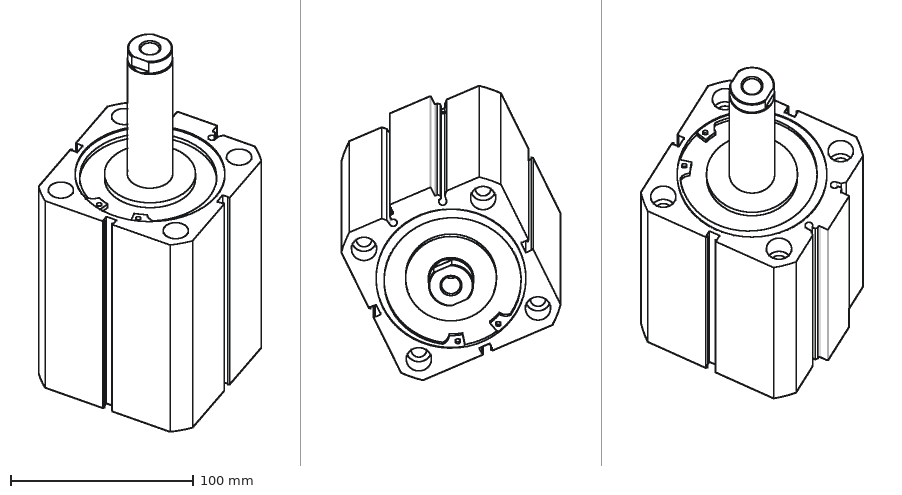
import cadquery as cq
import math


HOUSING_WIDTH = 96.5
HOUSING_HEIGHT = 133.5
HALF_WIDTH = HOUSING_WIDTH / 2
CORNER_RADIUS = 62.0
BORE_RADIUS = 41.0

RAIL_WIDTH = 25.0
RAIL_HEIGHT = 5.5
RAIL_ROUND = 0.5

MOUNT_OFFSET = 36.0
MOUNT_HOLE_DIAMETER = 8.5
COUNTERBORE_DIAMETER = 13.8
COUNTERBORE_DEPTH = 13.5

SLOT_MOUTH_WIDTH = 4.7
SLOT_WIDTH = 6.3
SLOT_DEPTH = 4.5
SLOT_LIP = 1.0
SLOT_MOUTH_CHAMFER = 0.7

GROOVE_RADIUS = 2.0
GROOVE_X = 15.0
GROOVE_DEPTH = 5.0
FLARE_OUTER_X = 19.5
FLARE_INNER_X = 14.0
THROAT_OUTER_X = 17.5
THROAT_OUTER_DEPTH = 2.0
LIP_X = 15.2
LIP_DEPTH = 1.0

RING_RECESS = 1.0
RING_THICKNESS = 2.5
RING_INNER_RADIUS = 37.5
RING_INNER_OFFSET = 2.0
EAR_RADIUS = 34.0
EAR_START_ANGLE = 14.0
EAR_END_ANGLE = 26.4
NECK_ANGLE = 33.0
NECK_ARC_RADIUS = 37.5
NECK_ARC_ANGLE = 28.4
EAR_HOLE_RADIUS = 37.5
EAR_HOLE_ANGLE = 19.0
EAR_HOLE_DIAMETER = 2.8

COVER_RECESS = RING_RECESS + RING_THICKNESS
COVER_THICKNESS = 20.0
BOSS_RADIUS = 25.0
BOSS_HEIGHT = 3.5

ROD_DIAMETER = 25.0
ROD_RADIUS = ROD_DIAMETER / 2
ROD_BOTTOM = -10.0
ROD_LENGTH = 233.5
ROD_TOP = ROD_BOTTOM + ROD_LENGTH
TIP_STEP = 0.25
TIP_RADIUS = ROD_RADIUS - TIP_STEP
TIP_LENGTH = 8.0
TIP_TAPER_LENGTH = 0.7
TIP_CHAMFER = 0.5
FLATS_WIDTH = 22.0
FLATS_LENGTH = 7.0
THREAD_DIAMETER = 10.3
THREAD_MOUTH_DIAMETER = 12.0
THREAD_DEPTH = 23.4
DRILL_POINT_ANGLE = 118.0


def upper_end_to_lower(shape):
    """Mirror a shape at the upper end of the cylinder to the lower end."""
    mid_plane = (0, 0, HOUSING_HEIGHT / 2)
    return shape.mirror("XY", mid_plane)


def polar_from_gap(radius, angle):
    """Point at an angle in degrees from -Y, on the +X side."""
    turn = math.radians(angle)
    return radius * math.sin(turn), -radius * math.cos(turn)


def mirrored(point):
    return -point[0], point[1]


def t_slot(turn):
    """Full-height T-slot cutter for the -Y side, turned about the axis."""
    mouth_half = SLOT_MOUTH_WIDTH / 2
    mouth = (
        cq.Workplane("XY")
        .moveTo(-mouth_half - SLOT_MOUTH_CHAMFER, -HALF_WIDTH)
        .lineTo(-mouth_half, SLOT_MOUTH_CHAMFER - HALF_WIDTH)
        .lineTo(-mouth_half, SLOT_DEPTH - HALF_WIDTH)
        .lineTo(mouth_half, SLOT_DEPTH - HALF_WIDTH)
        .lineTo(mouth_half, SLOT_MOUTH_CHAMFER - HALF_WIDTH)
        .lineTo(mouth_half + SLOT_MOUTH_CHAMFER, -HALF_WIDTH)
        .close()
        .extrude(HOUSING_HEIGHT)
    )
    wide = cq.Workplane("XY").box(
        SLOT_WIDTH, SLOT_DEPTH - SLOT_LIP, HOUSING_HEIGHT, centered=(True, False, False)
    )
    wide = wide.translate((0, SLOT_LIP - HALF_WIDTH, 0))
    return mouth.union(wide).rotate((0, 0, 0), (0, 0, 1), turn)


def sensor_groove():
    """Full-height cutter for the groove on the +X side of the rail."""
    centre_y = HALF_WIDTH - GROOVE_DEPTH
    mouth = (
        cq.Workplane("XY")
        .moveTo(FLARE_OUTER_X, HALF_WIDTH)
        .lineTo(THROAT_OUTER_X, HALF_WIDTH - THROAT_OUTER_DEPTH)
        .lineTo(GROOVE_X + GROOVE_RADIUS, centre_y)
        .lineTo(GROOVE_X, centre_y)
        .lineTo(LIP_X, HALF_WIDTH - LIP_DEPTH)
        .lineTo(FLARE_INNER_X, HALF_WIDTH)
        .close()
        .extrude(HOUSING_HEIGHT)
    )
    bottom = cq.Workplane("XY").center(GROOVE_X, centre_y).circle(GROOVE_RADIUS).extrude(HOUSING_HEIGHT)
    return mouth.union(bottom)


def make_housing():
    block = cq.Workplane("XY").rect(HOUSING_WIDTH, HOUSING_WIDTH).extrude(HOUSING_HEIGHT)
    corners = cq.Workplane("XY").circle(CORNER_RADIUS).extrude(HOUSING_HEIGHT)
    rail_length = HALF_WIDTH + RAIL_HEIGHT
    rail = cq.Workplane("XY").box(
        RAIL_WIDTH, rail_length, HOUSING_HEIGHT, centered=(True, False, False)
    )
    body = block.intersect(corners).union(rail)
    rail_edges = cq.selectors.BoxSelector(
        (-RAIL_WIDTH / 2 - RAIL_ROUND, HALF_WIDTH - RAIL_ROUND, 0),
        (RAIL_WIDTH / 2 + RAIL_ROUND, rail_length + RAIL_ROUND, HOUSING_HEIGHT),
    )
    body = body.edges("|Z").edges(rail_edges).fillet(RAIL_ROUND)
    body = body.cut(cq.Workplane("XY").circle(BORE_RADIUS).extrude(HOUSING_HEIGHT))

    for turn in (-90, 0, 90):
        body = body.cut(t_slot(turn))

    groove = sensor_groove()
    body = body.cut(groove).cut(groove.mirror("YZ"))

    mount_spacing = 2 * MOUNT_OFFSET
    for face in (">Z", "<Z"):
        body = (
            body.faces(face)
            .workplane(origin=(0, 0, 0))
            .rect(mount_spacing, mount_spacing, forConstruction=True)
            .vertices()
            .cboreHole(MOUNT_HOLE_DIAMETER, COUNTERBORE_DIAMETER, COUNTERBORE_DEPTH)
        )
    return body


def make_retaining_ring():
    """Ring at the upper end, with its gap and its two plier ears at -Y."""
    gap_outer = polar_from_gap(BORE_RADIUS, EAR_START_ANGLE)
    ear_start = polar_from_gap(EAR_RADIUS, EAR_START_ANGLE)
    ear_middle = polar_from_gap(EAR_RADIUS, (EAR_START_ANGLE + EAR_END_ANGLE) / 2)
    ear_end = polar_from_gap(EAR_RADIUS, EAR_END_ANGLE)
    neck_x, neck_y = polar_from_gap(RING_INNER_RADIUS, NECK_ANGLE)
    neck = (neck_x, neck_y - RING_INNER_OFFSET)
    neck_arc = polar_from_gap(NECK_ARC_RADIUS, NECK_ARC_ANGLE)
    inner_top = (0, RING_INNER_RADIUS - RING_INNER_OFFSET)

    ring = (
        cq.Workplane("XY", origin=(0, 0, HOUSING_HEIGHT - COVER_RECESS))
        .moveTo(*gap_outer)
        .threePointArc((0, BORE_RADIUS), mirrored(gap_outer))
        .lineTo(*mirrored(ear_start))
        .threePointArc(mirrored(ear_middle), mirrored(ear_end))
        .threePointArc(mirrored(neck_arc), mirrored(neck))
        .threePointArc(inner_top, neck)
        .threePointArc(neck_arc, ear_end)
        .threePointArc(ear_middle, ear_start)
        .close()
        .extrude(RING_THICKNESS)
    )
    ear_hole = polar_from_gap(EAR_HOLE_RADIUS, EAR_HOLE_ANGLE)
    return (
        ring.faces(">Z")
        .workplane(origin=(0, 0, 0))
        .pushPoints([ear_hole, mirrored(ear_hole)])
        .hole(EAR_HOLE_DIAMETER)
    )


def make_rod_cover():
    """Upper cover: a disc that fills the bore, with a raised boss around the rod."""
    cover_top = HOUSING_HEIGHT - COVER_RECESS
    disc = cq.Workplane("XY", origin=(0, 0, cover_top)).circle(BORE_RADIUS).extrude(-COVER_THICKNESS)
    boss = cq.Workplane("XY", origin=(0, 0, cover_top)).circle(BOSS_RADIUS).extrude(BOSS_HEIGHT)
    rod_hole = cq.Workplane("XY").circle(ROD_RADIUS).extrude(HOUSING_HEIGHT)
    return disc.union(boss).cut(rod_hole)


def upper_rod_half():
    """Rod from mid-length up: turned tip, two wrench flats and a threaded hole."""
    middle = (ROD_BOTTOM + ROD_TOP) / 2
    tip_start = ROD_TOP - TIP_LENGTH
    rod = (
        cq.Workplane("XZ")
        .moveTo(0, middle)
        .lineTo(ROD_RADIUS, middle)
        .lineTo(ROD_RADIUS, tip_start - TIP_TAPER_LENGTH)
        .lineTo(TIP_RADIUS, tip_start)
        .lineTo(TIP_RADIUS, ROD_TOP - TIP_CHAMFER)
        .lineTo(TIP_RADIUS - TIP_CHAMFER, ROD_TOP)
        .lineTo(0, ROD_TOP)
        .close()
        .revolve(360, (0, 0, 0), (0, 1, 0))
    )

    flat_y = FLATS_WIDTH / 2
    flat_end = ROD_TOP - FLATS_LENGTH
    run_out = ROD_RADIUS - flat_y
    flat = (
        cq.Workplane("YZ")
        .moveTo(-flat_y, ROD_TOP)
        .lineTo(-flat_y, flat_end)
        .lineTo(-ROD_RADIUS, flat_end - run_out)
        .lineTo(-ROD_RADIUS, ROD_TOP)
        .close()
        .extrude(ROD_RADIUS, both=True)
    )
    rod = rod.cut(flat).cut(flat.mirror("XZ"))

    hole_radius = THREAD_DIAMETER / 2
    mouth_radius = THREAD_MOUTH_DIAMETER / 2
    hole_end = ROD_TOP - THREAD_DEPTH
    point_depth = hole_radius / math.tan(math.radians(DRILL_POINT_ANGLE / 2))
    hole = (
        cq.Workplane("XZ")
        .moveTo(0, ROD_TOP)
        .lineTo(mouth_radius, ROD_TOP)
        .lineTo(hole_radius, ROD_TOP - (mouth_radius - hole_radius))
        .lineTo(hole_radius, hole_end)
        .lineTo(0, hole_end - point_depth)
        .close()
        .revolve(360, (0, 0, 0), (0, 1, 0))
    )
    return rod.cut(hole)


def make_rod():
    upper = upper_rod_half()
    middle = (ROD_BOTTOM + ROD_TOP) / 2
    return upper.union(upper.mirror("XY", (0, 0, middle)))


housing = make_housing()
piston_rod = make_rod()

end_bodies = []
for make_body in (make_rod_cover, make_retaining_ring):
    upper_body = make_body()
    end_bodies += [upper_body.val(), upper_end_to_lower(upper_body).val()]

result = cq.Compound.makeCompound([housing.val(), piston_rod.val(), *end_bodies])